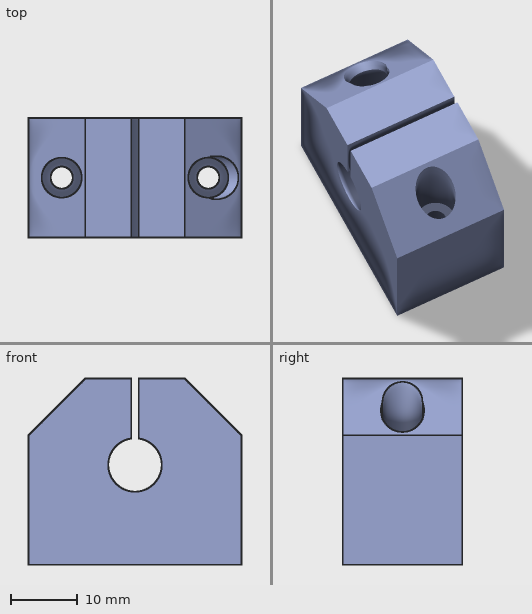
import cadquery as cq

length = 32.0
depth = 18.0
height = 28.0
corner_chamfer = 8.5

bore_diameter = 8.0
bore_height = 15.0
slot_width = 1.05

mount_spacing = 22.0
mount_diameter = 3.3
counterbore_diameter = 6.0
counterbore_floor = 15.0
mount_x = mount_spacing / 2

recess_diameter = 6.5
recess_height = 23.2


def make_block():
    block = cq.Workplane("XY").box(length, depth, height, centered=(True, True, False))
    return block.edges("|Y and >Z").chamfer(corner_chamfer)


def make_shaft_clamp():
    bore = (
        cq.Workplane("XZ")
        .center(0, bore_height)
        .circle(bore_diameter / 2)
        .extrude(depth / 2, both=True)
    )
    slot = (
        cq.Workplane("XY", origin=(0, 0, bore_height))
        .rect(slot_width, depth)
        .extrude(height - bore_height)
    )
    return bore.union(slot)


def make_mounting_hole(x):
    hole = cq.Workplane("XY").center(x, 0).circle(mount_diameter / 2).extrude(height)
    counterbore = (
        cq.Workplane("XY", origin=(x, 0, counterbore_floor))
        .circle(counterbore_diameter / 2)
        .extrude(height - counterbore_floor)
    )
    return hole.union(counterbore)


def make_side_recess():
    return (
        cq.Workplane("YZ", origin=(mount_x, 0, recess_height))
        .circle(recess_diameter / 2)
        .extrude(length / 2 - mount_x)
    )


result = make_block().cut(make_shaft_clamp())
for hole_x in (-mount_x, mount_x):
    result = result.cut(make_mounting_hole(hole_x))
result = result.cut(make_side_recess())